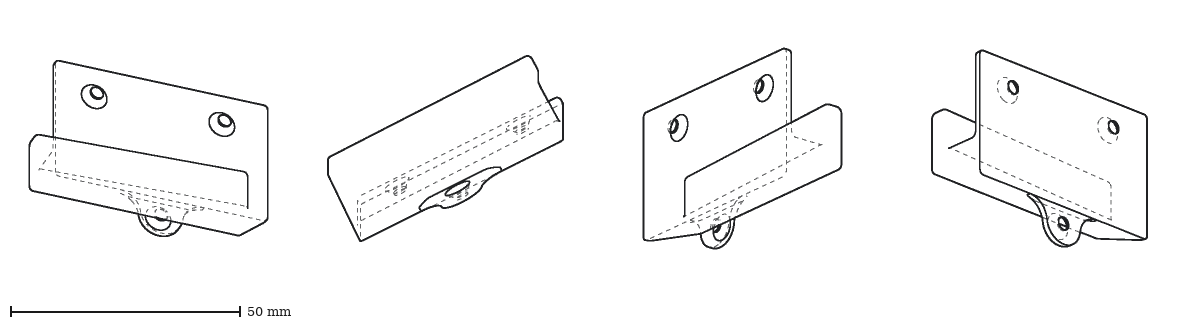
import cadquery as cq
import math

LENGTH = 50.0
DEPTH = 16.0
PLATE_HEIGHT = 30.0
PLATE_THICKNESS = 2.0

LIP_THICKNESS = 5.0
LIP_HEIGHT = 10.0
FLOOR_LOW = 8.0
FLOOR_RISE = 2.0
UNDERSIDE_FLAT = 1.0
UNDERSIDE_BLEND_RADIUS = 5.0
UNDERSIDE_FRONT = 5.5

EDGE_RADIUS = 1.0
LIP_RADIUS = 1.5

HOLE_DIAMETER = 3.0
SINK_DIAMETER = 6.0
SINK_ANGLE = 90.0
PLATE_HOLE_X = 15.0
PLATE_HOLE_Z = 24.0

TAB_RADIUS = 5.0
TAB_FLARE_RADIUS = 5.0
TAB_CENTER_Z = -4.0
TAB_BLANK_MARGIN = 2.5

HALF_LENGTH = LENGTH / 2
LIP_INNER_Y = -(DEPTH - LIP_THICKNESS)
LIP_LOW = FLOOR_LOW + LIP_HEIGHT
FLOOR_MIDDLE = FLOOR_LOW + FLOOR_RISE / 2
LIP_MIDDLE = FLOOR_MIDDLE + LIP_HEIGHT


def tilted_block(front_y, back_y, low_z, base_z):
    """Full-length block from base_z up to a top that climbs by FLOOR_RISE along X."""
    return (
        cq.Workplane("XZ", origin=(0, back_y, 0))
        .moveTo(-HALF_LENGTH, base_z)
        .lineTo(HALF_LENGTH, base_z)
        .lineTo(HALF_LENGTH, low_z + FLOOR_RISE)
        .lineTo(-HALF_LENGTH, low_z)
        .close()
        .extrude(back_y - front_y)
    )


def long_edge(body, y, z):
    """The lengthwise edge whose middle lies nearest to the given Y and Z."""
    return body.edges(cq.selectors.NearestToPointSelector((0, y, z)))


def cut_screw_holes(body, centers):
    """Cut countersunk holes through the plate thickness at the given (x, z) centers."""
    return (
        body.copyWorkplane(cq.Workplane("XZ", origin=(0, -PLATE_THICKNESS, 0)))
        .pushPoints(centers)
        .cskHole(HOLE_DIAMETER, SINK_DIAMETER, SINK_ANGLE, PLATE_THICKNESS)
    )


def make_hook():
    plate = cq.Workplane("XY").box(
        LENGTH, PLATE_THICKNESS, PLATE_HEIGHT, centered=(True, False, False)
    ).translate((0, -PLATE_THICKNESS, 0))
    floor = tilted_block(LIP_INNER_Y, -PLATE_THICKNESS, FLOOR_LOW, 0)
    lip = tilted_block(-DEPTH, LIP_INNER_Y, LIP_LOW, 0)
    below_underside = (
        cq.Workplane("YZ", origin=(-HALF_LENGTH, 0, 0))
        .polyline([(-UNDERSIDE_FLAT, 0), (-DEPTH, UNDERSIDE_FRONT), (-DEPTH, 0)])
        .close()
        .extrude(LENGTH)
    )
    hook = plate.union(floor).union(lip).cut(below_underside)

    rounded_edges = [
        (-PLATE_THICKNESS, PLATE_HEIGHT, EDGE_RADIUS),
        (-PLATE_THICKNESS, FLOOR_MIDDLE, EDGE_RADIUS),
        (LIP_INNER_Y, FLOOR_MIDDLE, EDGE_RADIUS),
        (LIP_INNER_Y, LIP_MIDDLE, LIP_RADIUS),
        (-DEPTH, LIP_MIDDLE, LIP_RADIUS),
        (-DEPTH, UNDERSIDE_FRONT, LIP_RADIUS),
        (-UNDERSIDE_FLAT, 0, UNDERSIDE_BLEND_RADIUS),
    ]
    for y, z, radius in rounded_edges:
        hook = long_edge(hook, y, z).fillet(radius)

    hook = hook.faces("<X or >X").edges("not(>Y)").fillet(EDGE_RADIUS)

    return cut_screw_holes(hook, [(-PLATE_HOLE_X, PLATE_HOLE_Z), (PLATE_HOLE_X, PLATE_HOLE_Z)])


def make_tab():
    flare_z = -TAB_FLARE_RADIUS
    center_distance = TAB_RADIUS + TAB_FLARE_RADIUS
    flare_x = math.sqrt(center_distance**2 - (TAB_CENTER_Z - flare_z) ** 2)
    touch_share = TAB_RADIUS / center_distance
    touch_x = flare_x * touch_share
    touch_z = TAB_CENTER_Z + (flare_z - TAB_CENTER_Z) * touch_share
    blank_half_width = flare_x + TAB_BLANK_MARGIN

    blank = (
        cq.Workplane("XZ")
        .moveTo(-blank_half_width, TAB_BLANK_MARGIN)
        .lineTo(-blank_half_width, 0)
        .lineTo(-flare_x, 0)
        .tangentArcPoint((-touch_x, touch_z), relative=False)
        .threePointArc((0, TAB_CENTER_Z - TAB_RADIUS), (touch_x, touch_z))
        .tangentArcPoint((flare_x, 0), relative=False)
        .lineTo(blank_half_width, 0)
        .lineTo(blank_half_width, TAB_BLANK_MARGIN)
        .close()
        .extrude(PLATE_THICKNESS)
    )
    rim = blank.faces("<Y").edges("not(>Z or <X or >X)")
    rounded = rim.fillet(EDGE_RADIUS)
    above_top = cq.Workplane("XY").box(
        2 * blank_half_width, 2 * PLATE_THICKNESS, TAB_BLANK_MARGIN, centered=(True, True, False)
    )
    return cut_screw_holes(rounded.cut(above_top), [(0, TAB_CENTER_Z)])


hook = make_hook()
tab = make_tab()
result = cq.Compound.makeCompound([hook.val(), tab.val()])